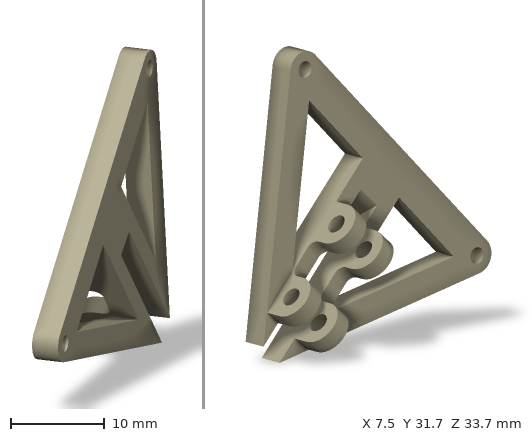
import cadquery as cq
import math

plate_thickness = 3.0
lug_reach = 4.5
face_x = (lug_reach - plate_thickness) / 2

upper_hole = (10.15, 14.85)
hole_step = 23.95
lower_hole = (upper_hole[0] - hole_step, upper_hole[1] - hole_step)
corner_radius = 2.02
hole_radius = 0.9
upper_bar_angle = 97.2
lower_bar_angle = 168.4
long_edge_angle = 45.0
bar_width = 3.03
long_bar_width = 4.05

arm_direction = -48.4
arm_thickness = 2.02
slot_width = 3.05
arms_width = slot_width + 2 * arm_thickness
arms_offset = 0.6
slot_end = 4.18
slot_slope_run = plate_thickness
beyond = 33.67

lug_radius = 2.5
lug_hole_radius = 1.08
lug_root_radius = 1.0
lug_pitch = 9.45
first_lug_position = 6.53
lug_positions = (first_lug_position, first_lug_position + lug_pitch)
lug_axis_height = lug_reach - lug_radius
lug_sink = 0.35


def offset_point(point, angle, distance):
    a = math.radians(angle)
    return (point[0] + distance * math.cos(a), point[1] + distance * math.sin(a))


def meet(point_a, angle_a, point_b, angle_b):
    """Point where two lines, each given by a point and a direction, cross."""
    a = math.radians(angle_a)
    b = math.radians(angle_b)
    dy = point_b[0] - point_a[0]
    dz = point_b[1] - point_a[1]
    along = (dy * math.sin(b) - dz * math.cos(b)) / math.sin(b - a)
    return offset_point(point_a, angle_a, along)


upper_normal = upper_bar_angle - 90
lower_normal = lower_bar_angle + 90
long_normal = long_edge_angle + 90

plate_plane = cq.Workplane("YZ", origin=(face_x, 0, 0))

arm_a = math.radians(arm_direction)
arm_y = math.cos(arm_a)
arm_z = math.sin(arm_a)
arm_plane = cq.Workplane(cq.Plane(
    origin=(face_x, -arm_z * arms_offset, arm_y * arms_offset),
    xDir=(0, arm_y, arm_z),
    normal=(0, -arm_z, arm_y),
))


def frame_blank():
    """Triangle with two round corners and a sharp tip."""
    upper_edge = offset_point(upper_hole, upper_normal, corner_radius)
    lower_edge = offset_point(lower_hole, lower_normal, corner_radius)
    tip = meet(upper_edge, upper_bar_angle, lower_edge, lower_bar_angle)
    return (
        plate_plane.moveTo(*tip)
        .lineTo(*upper_edge)
        .threePointArc(
            offset_point(upper_hole, (upper_normal + long_normal) / 2, corner_radius),
            offset_point(upper_hole, long_normal, corner_radius),
        )
        .lineTo(*offset_point(lower_hole, long_normal, corner_radius))
        .threePointArc(
            offset_point(lower_hole, (long_normal + lower_normal) / 2, corner_radius),
            lower_edge,
        )
        .close()
        .extrude(plate_thickness)
    )


def frame_openings():
    """Inner triangle of the frame, split in two by the arms."""
    upper_inner = offset_point(upper_hole, upper_normal, corner_radius - bar_width)
    lower_inner = offset_point(lower_hole, lower_normal, corner_radius - bar_width)
    long_inner = offset_point(upper_hole, long_normal, corner_radius - long_bar_width)
    triangle = plate_plane.polyline([
        meet(upper_inner, upper_bar_angle, lower_inner, lower_bar_angle),
        meet(upper_inner, upper_bar_angle, long_inner, long_edge_angle),
        meet(lower_inner, lower_bar_angle, long_inner, long_edge_angle),
    ]).close().extrude(plate_thickness)
    arms = (
        arm_plane.center(0, -plate_thickness / 2)
        .rect(2 * beyond, plate_thickness)
        .extrude(arms_width / 2, both=True)
    )
    return triangle.cut(arms)


def slot():
    """Gap between the arms, with a sloping end that is longer on the lug side."""
    return (
        arm_plane.moveTo(slot_end - slot_slope_run, 0)
        .lineTo(slot_end, -plate_thickness)
        .lineTo(beyond, -plate_thickness)
        .lineTo(beyond, 0)
        .close()
        .extrude(slot_width / 2, both=True)
    )


def lug_pair(position, root_side):
    """One lug per arm; root_side is the side (+1 or -1 along the arm) with the rounded root."""
    plain = position - root_side * lug_radius
    rooted = position + root_side * lug_radius
    root_end = rooted + root_side * lug_root_radius
    root_mid = (
        root_end - root_side * lug_root_radius * math.sqrt(0.5),
        lug_root_radius * (1 - math.sqrt(0.5)),
    )
    lugs = (
        arm_plane.moveTo(plain, -lug_sink)
        .lineTo(plain, lug_axis_height)
        .threePointArc((position, lug_reach), (rooted, lug_axis_height))
        .lineTo(rooted, lug_root_radius)
        .threePointArc(root_mid, (root_end, 0))
        .lineTo(root_end, -lug_sink)
        .close()
        .extrude(arms_width / 2, both=True)
    )
    gap = (
        arm_plane.center(position, 0)
        .rect(beyond, beyond)
        .extrude(slot_width / 2, both=True)
    )
    pin_hole = (
        arm_plane.center(position, lug_axis_height)
        .circle(lug_hole_radius)
        .extrude(arms_width, both=True)
    )
    return lugs.cut(gap).cut(pin_hole)


corner_holes = (
    plate_plane.pushPoints([upper_hole, lower_hole])
    .circle(hole_radius)
    .extrude(plate_thickness)
)

result = frame_blank().cut(frame_openings()).cut(slot()).cut(corner_holes)

for lug_position, root_side in zip(lug_positions, (1, -1)):
    result = result.union(lug_pair(lug_position, root_side))